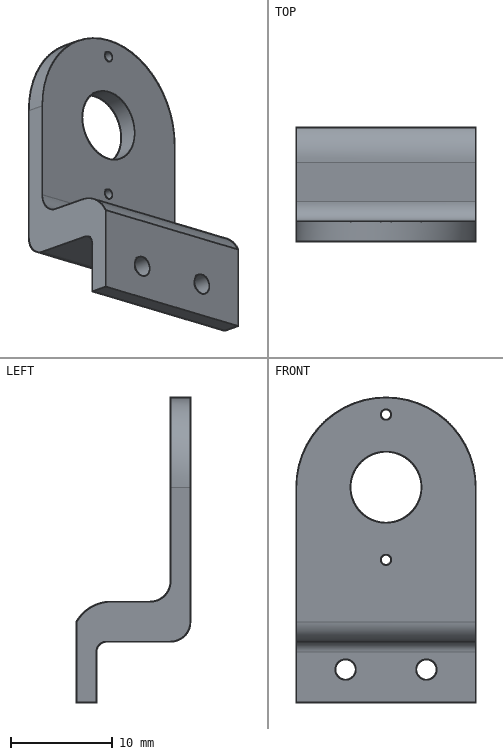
import cadquery as cq
import math

width = 17.8
depth = 11.3
height = 30.2

wall = 2.0
shelf_bottom = 6.0
shelf_top = shelf_bottom + 2 * wall
rear_corner_drop = wall
rear_radius = 2 * wall
bend_radius = wall
foot_bend_radius = wall / 2

bore_diameter = 7.0
pin_diameter = 1.0
pin_offset = 7.2
screw_diameter = 2.0
screw_spacing = 8.0
screw_height = 3.25

half_width = width / 2
bore_height = height - half_width


def bracket_section():
    """Extrude the side outline (Y, Z) symmetrically across the width."""
    foot_front = depth - wall
    rear_corner_height = shelf_top - rear_corner_drop

    arc_center_z = shelf_top - rear_radius
    rear_rise = rear_corner_height - arc_center_z
    rear_arc_length = math.sqrt(rear_radius**2 - rear_rise**2)
    arc_start_y = depth - rear_arc_length
    mid_angle = (math.pi / 2 + math.asin(rear_rise / rear_radius)) / 2
    arc_middle = (
        arc_start_y + rear_radius * math.cos(mid_angle),
        arc_center_z + rear_radius * math.sin(mid_angle),
    )

    section = (
        cq.Workplane("YZ")
        .moveTo(0, shelf_bottom)
        .lineTo(0, height)
        .lineTo(wall, height)
        .lineTo(wall, shelf_top)
        .lineTo(arc_start_y, shelf_top)
        .threePointArc(arc_middle, (depth, rear_corner_height))
        .lineTo(depth, 0)
        .lineTo(foot_front, 0)
        .lineTo(foot_front, shelf_bottom)
        .close()
        .extrude(half_width, both=True)
    )

    bends = (
        (0, shelf_bottom, bend_radius),
        (wall, shelf_top, bend_radius),
        (foot_front, shelf_bottom, foot_bend_radius),
    )
    for y, z, radius in bends:
        section = section.edges(cq.selectors.NearestToPointSelector((0, y, z))).fillet(radius)
    return section


def front_outline():
    """Rectangle with a full semicircular top, spanning the whole depth."""
    return (
        cq.Workplane("XZ")
        .moveTo(-half_width, 0)
        .lineTo(half_width, 0)
        .lineTo(half_width, bore_height)
        .threePointArc((0, height), (-half_width, bore_height))
        .close()
        .extrude(-depth)
    )


def through_holes(diameter, centers):
    """Cylinders along Y through the full depth at the given (X, Z) centers."""
    return cq.Workplane("XZ").pushPoints(centers).circle(diameter / 2).extrude(-depth)


bore = through_holes(bore_diameter, [(0, bore_height)])
pin_holes = through_holes(pin_diameter, [(0, bore_height + side * pin_offset) for side in (-1, 1)])
screw_holes = through_holes(
    screw_diameter, [(side * screw_spacing / 2, screw_height) for side in (-1, 1)]
)

bracket = bracket_section().intersect(front_outline())
result = bracket.cut(bore).cut(pin_holes).cut(screw_holes)